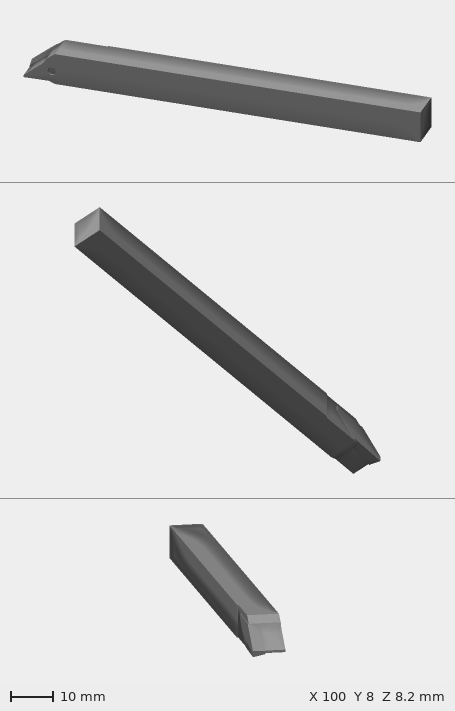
import cadquery as cq

LENGTH = 100.0
WIDTH = 8.0
HEIGHT = 8.0

NOSE_X = 0.7
NOSE_LOW_Z = 0.5
NOSE_HIGH_Z = 1.1
RAMP_END = (4.7, 4.4)
HOLLOW_MIDDLE = (5.7, 5.3)
HOLLOW_END = (6.4, 6.4)
SHOULDER_X = 8.5
UNDERCUT_END = (7.0, 0.6)

RELIEF_LENGTH = 19.0
RELIEF_DEPTH = 0.3

SCREW_X = 7.7
SCREW_Z = 3.3
INSERT_THICKNESS = 3.1
INSERT_BACK_Y = WIDTH - INSERT_THICKNESS
CUTTING_FACE = [(0.0, -0.2), (0.0, 1.3), (6.3, 6.4)]
BACK_FACE = [(0.5, 0.3), (0.5, 1.1), (6.3, 5.7)]

SCREW_DIAMETER = 2.0
SCREW_RECESS = 0.5


def half_turned(point):
    """Turn an XZ point by 180 degrees about the screw axis."""
    x, z = point
    return (2 * SCREW_X - x, 2 * SCREW_Z - z)


def insert_outline(half_points, y):
    """Closed insert outline lying at the given Y."""
    points = half_points + [half_turned(point) for point in half_points]
    return cq.Wire.makePolygon([cq.Vector(x, y, z) for x, z in points], close=True)


def insert_blank():
    """Tapered insert without its screw hole."""
    back = insert_outline(BACK_FACE, INSERT_BACK_Y)
    front = insert_outline(CUTTING_FACE, WIDTH)
    return cq.Workplane(cq.Solid.makeLoft([back, front], True))


def cylinder_along_y(start_y, end_y):
    """Cylinder on the screw axis between two Y positions."""
    return cq.Workplane(cq.Solid.makeCylinder(
        SCREW_DIAMETER / 2,
        end_y - start_y,
        cq.Vector(SCREW_X, start_y, SCREW_Z),
        cq.Vector(0, 1, 0),
    ))


def make_holder():
    """Square shank with a ramped nose, a relief, an insert pocket and a screw hole."""
    shank = (
        cq.Workplane("XZ")
        .moveTo(NOSE_X, NOSE_LOW_Z)
        .lineTo(NOSE_X, NOSE_HIGH_Z)
        .lineTo(*RAMP_END)
        .threePointArc(HOLLOW_MIDDLE, HOLLOW_END)
        .lineTo(SHOULDER_X, HEIGHT)
        .lineTo(LENGTH, HEIGHT)
        .lineTo(LENGTH, 0)
        .lineTo(SHOULDER_X, 0)
        .lineTo(*UNDERCUT_END)
        .close()
        .extrude(-WIDTH)
    )
    relief = cq.Workplane("XY").box(RELIEF_LENGTH, RELIEF_DEPTH, HEIGHT, centered=False)
    relief = relief.translate((0, WIDTH - RELIEF_DEPTH, 0))
    return shank.cut(relief).cut(insert_blank()).cut(cylinder_along_y(0, WIDTH))


def make_insert():
    """Insert with its through hole for the screw."""
    return insert_blank().cut(cylinder_along_y(0, WIDTH))


def make_screw():
    """Plain screw, set back from the holder side and flush with the insert."""
    return cylinder_along_y(SCREW_RECESS, WIDTH)


holder = make_holder()
insert = make_insert()
screw = make_screw()

result = cq.Compound.makeCompound([
    holder.val(),
    insert.val(),
    screw.val(),
])